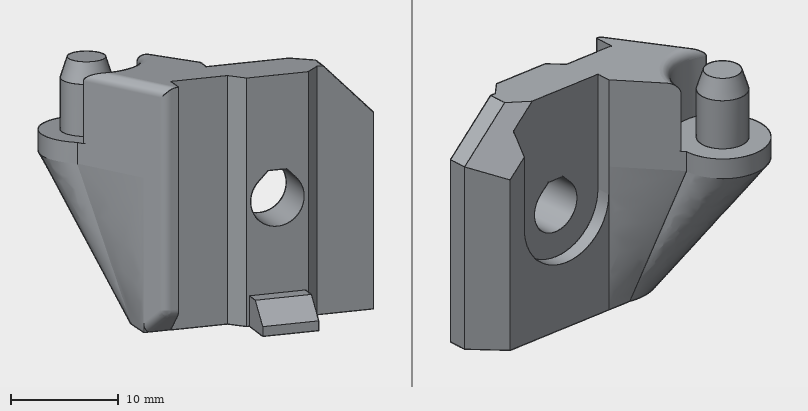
import cadquery as cq
import math

height = 24.0
length = 29.0
disc_bottom = 14.94
disc_top = 17.0

plate_front = 9.98
plate_back = 14.94
plate_low_end = 13.75
edge_chamfer = 3.0
top_corner_chamfer = 5.0

hole_y = 19.0
hole_z = 12.04
hole_radius = 2.65
hole_flat_height = 2.8
pocket_radius = hole_y - plate_low_end
pocket_depth = 1.5

rib_depth = 1.4
rib_face_width = 6.1
tab_end = 19.9
tab_width = 5.55
tab_height = 2.95
tab_chamfer = 2.0

pin_x = 4.5
pin_y = 4.5
disc_radius = 4.5
pin_radius = 4.9 / 2
pin_tip_radius = 1.8
pin_taper = 2.0

recess_radius = 4.85
edge_round = 1.0
flange_x = 17.0
flange_inner_y = 9.0
flange_corner_y = 7.68
flank_slope = 0.637
flange_undercut = 2.12
flange_root_x = flange_x - flange_undercut

foot_left_y = 11.15
foot_low_x = 12.0
foot_low_y = 6.2
foot_bulge = (10.45, 7.7)
foot_toe = (11.55, 6.24)


def flank_y(x):
    """Y of the slanted outer flank of the arm."""
    return flange_corner_y - flank_slope * (flange_x - x)


def box(x0, x1, y0, y1, z0, z1):
    return cq.Workplane("XY").box(x1 - x0, y1 - y0, z1 - z0, centered=False).translate((x0, y0, z0))


def disc_flank_point():
    """Point where the flank line meets the disc circle, on the +X side."""
    offset = flank_y(pin_x) - pin_y
    a = 1 + flank_slope**2
    b = flank_slope * offset
    c = offset**2 - disc_radius**2
    dx = (-b + math.sqrt(b**2 - a * c)) / a
    return pin_x + dx, flank_y(pin_x + dx)


plate_corner = (plate_front, plate_low_end)
disc_far_point = (pin_x, pin_y + disc_radius)
disc_near_point = disc_flank_point()
flange_root = (flange_root_x, flank_y(flange_root_x))
plate_inside = (flange_root_x, plate_low_end)


def make_plate():
    plate = (
        cq.Workplane("XY")
        .moveTo(*plate_corner)
        .lineTo(plate_front, length - edge_chamfer)
        .lineTo(plate_front + edge_chamfer, length)
        .lineTo(plate_back, length)
        .lineTo(plate_back, plate_low_end)
        .close()
        .extrude(height)
    )
    rib_half = rib_face_width / 2
    rib = (
        cq.Workplane("XY")
        .moveTo(plate_back, hole_y - rib_half - rib_depth)
        .lineTo(plate_back + rib_depth, hole_y - rib_half)
        .lineTo(plate_back + rib_depth, hole_y + rib_half)
        .lineTo(plate_back, hole_y + rib_half + rib_depth)
        .close()
        .extrude(height)
    )
    tab = box(plate_back, tab_end, hole_y - tab_width / 2, hole_y + tab_width / 2, 0, tab_height)
    tab = tab.edges(">X and >Z").chamfer(tab_chamfer)
    return plate.union(rib), tab


def cut_top_corner(body):
    """Bevel the top far corner, with the bevel continuing round the vertical chamfer."""
    corner = cq.Vector(plate_front + edge_chamfer, length - top_corner_chamfer, height)
    for normal in ((0, 1, 1), (-math.sqrt(2), 1, 1)):
        bevel = cq.Workplane(cq.Plane(corner, (0, 1, -1), normal))
        body = body.cut(bevel.rect(2 * length, 2 * length).extrude(length))
    return body


def make_hole_and_pocket():
    pocket = (
        cq.Workplane("YZ", origin=(plate_front, hole_y, hole_z))
        .moveTo(-pocket_radius, height)
        .lineTo(-pocket_radius, 0)
        .threePointArc((0, -pocket_radius), (pocket_radius, 0))
        .lineTo(pocket_radius, height)
        .close()
        .extrude(pocket_depth)
    )
    tangent = hole_radius / math.sqrt(2)
    flat_half = 2 * tangent - hole_flat_height
    hole = (
        cq.Workplane("YZ", origin=(0, hole_y, hole_z))
        .moveTo(-flat_half, hole_flat_height)
        .lineTo(-tangent, tangent)
        .threePointArc((0, -hole_radius), (tangent, tangent))
        .lineTo(flat_half, hole_flat_height)
        .close()
        .extrude(length)
    )
    return pocket.union(hole)


def make_pin_recess():
    """Clearance around the pin, flaring out at the top to leave a rounded rim."""
    rim_radius = recess_radius + edge_round
    bend = edge_round * (1 - math.sqrt(0.5))
    return (
        cq.Workplane("XZ")
        .moveTo(0, disc_top)
        .lineTo(recess_radius, disc_top)
        .lineTo(recess_radius, height - edge_round)
        .threePointArc((recess_radius + bend, height - bend), (rim_radius, height))
        .lineTo(0, height)
        .close()
        .revolve(360, (0, 0, 0), (0, 1, 0))
        .translate((pin_x, pin_y, 0))
    )


def round_edge(body, point):
    """Round the edge of the body nearest to the point."""
    return body.edges(cq.selectors.NearestToPointSelector(point)).fillet(edge_round)


def make_arm():
    arm = (
        cq.Workplane("XY")
        .polyline([
            plate_corner,
            disc_far_point,
            (pin_x, pin_y),
            disc_near_point,
            (flange_x, flange_corner_y),
            (flange_x, flange_inner_y),
            (plate_back, flange_inner_y),
            (plate_back, plate_low_end),
        ])
        .close()
        .extrude(height)
    )
    undercut = (
        cq.Workplane("XZ", origin=(0, flange_inner_y, 0))
        .polyline([(flange_root_x, 0), (flange_x, 0), (flange_x, flange_undercut)])
        .close()
        .extrude(length)
    )
    arm = arm.cut(undercut)

    flank_middle = (flange_x + disc_near_point[0]) / 2
    flank_rounded = round_edge(arm, (flank_middle, flank_y(flank_middle), height))
    undercut_x = flange_x - flange_undercut / 2
    corner_rounded = round_edge(arm, (flange_x, flange_corner_y, height / 2))
    corner_rounded = round_edge(corner_rounded, (undercut_x, flank_y(undercut_x), flange_undercut / 2))
    arm = flank_rounded.intersect(corner_rounded)

    arm = arm.cut(make_pin_recess())
    return arm.cut(box(0, flange_root_x, 0, plate_low_end, 0, disc_bottom))


def make_foot():
    """Taper from the disc and arm outline down to the smaller outline on the base."""
    disc_left = (pin_x - disc_radius, pin_y)
    disc_lowest = (pin_x, pin_y - disc_radius)
    near_angle = math.atan2(disc_near_point[1] - pin_y, disc_near_point[0] - pin_x)
    middle_angle = (near_angle - math.pi / 2) / 2
    near_middle = (pin_x + disc_radius * math.cos(middle_angle), pin_y + disc_radius * math.sin(middle_angle))
    return (
        cq.Workplane("XY")
        .moveTo(*plate_corner)
        .lineTo(plate_front, foot_left_y)
        .threePointArc(foot_bulge, foot_toe)
        .lineTo(foot_low_x, foot_low_y)
        .lineTo(*flange_root)
        .lineTo(*plate_inside)
        .close()
        .workplane(offset=disc_bottom)
        .moveTo(*plate_corner)
        .lineTo(*disc_far_point)
        .threePointArc(disc_left, disc_lowest)
        .threePointArc(near_middle, disc_near_point)
        .lineTo(*flange_root)
        .lineTo(*plate_inside)
        .close()
        .loft(ruled=True)
    )


def make_disc():
    disc = cq.Workplane("XY").center(pin_x, pin_y).circle(disc_radius).extrude(disc_top - disc_bottom)
    link = (
        cq.Workplane("XY")
        .polyline([plate_corner, disc_far_point, disc_near_point, flange_root, plate_inside])
        .close()
        .extrude(disc_top - disc_bottom)
    )
    return disc.union(link).translate((0, 0, disc_bottom))


def make_pin():
    return (
        cq.Workplane("XZ")
        .polyline([
            (0, disc_bottom),
            (pin_radius, disc_bottom),
            (pin_radius, height - pin_taper),
            (pin_tip_radius, height),
            (0, height),
        ])
        .close()
        .revolve(360, (0, 0, 0), (0, 1, 0))
        .translate((pin_x, pin_y, 0))
    )


plate, tab = make_plate()
body = cut_top_corner(plate).union(make_arm()).union(make_foot())
body = body.union(make_disc()).union(make_pin())
result = body.cut(make_hole_and_pocket()).union(tab)